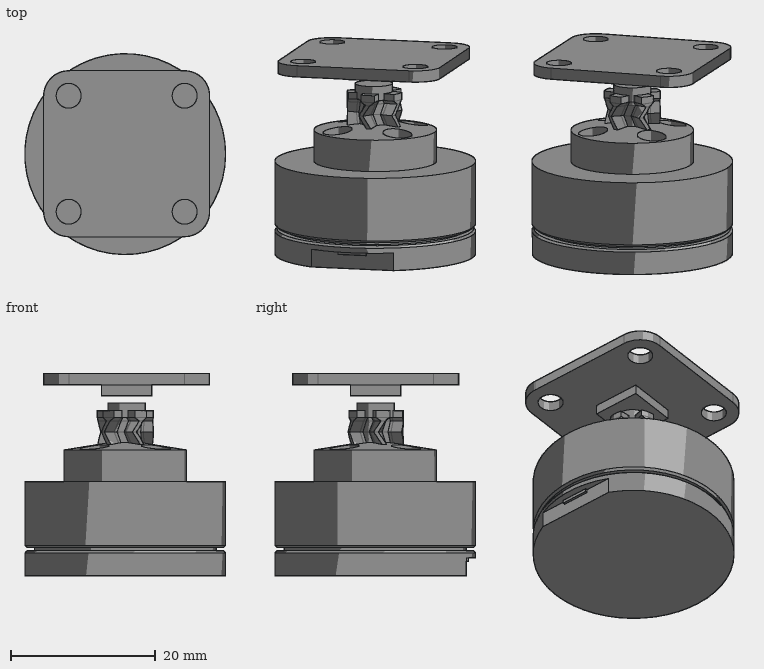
import cadquery as cq
import math

motor_diameter = 27.8
motor_height = 13.02
groove_diameter = 25.2
groove_bottom = 3.5
groove_top = 3.92
groove_chamfer = 0.3
flat_height = 2.5
flat_distance = groove_diameter / 2
tab_height = 0.5
tab_depth = 0.3
tab_width = 4.0

hub_diameter = 17.0
hub_rim_height = 4.4
cone_apex_rise = 1.37
screw_count = 4
screw_circle_radius = 6.05
screw_hole_diameter = 2.5
counterbore_diameter = 4.0
counterbore_floor_height = 3.5

tooth_count = 5
tooth_angle = -55.5
tooth_tip_radius = 3.9
tooth_foot_radius = 2.6
tooth_root_radius = 2.3
gear_half_angles = {"tip": 4.8, "foot": 17.0, "root": 23.0}
jaw_half_angles = {"tip": 14.5, "foot": 26.0, "root": 29.0}
helix_rate = 10.0
gear_middle_z = 19.9
gear_top_z = 21.42
jaw_base_z = 21.9
jaw_top_z = 22.85

sensor_x = 0.2
sensor_y = 0.05
magnet_diameter = 5.2
magnet_height = 2.02
chip_size = 7.0
chip_thickness = 1.5
board_size = 23.0
board_thickness = 1.6
board_corner_radius = 3.5
board_hole_diameter = 3.45
board_hole_spacing = 16.05
board_top_z = 28.0

hub_rim_z = motor_height + hub_rim_height
board_bottom_z = board_top_z - board_thickness
chip_bottom_z = board_bottom_z - chip_thickness


def make_motor():
    """Grooved drum with a flat and a tab below the lip of its base."""
    outer = motor_diameter / 2
    inner = groove_diameter / 2
    profile = [
        (0, 0),
        (outer, 0),
        (outer, groove_bottom - groove_chamfer),
        (outer - groove_chamfer, groove_bottom),
        (inner, groove_bottom),
        (inner, groove_top),
        (outer - groove_chamfer, groove_top),
        (outer, groove_top + groove_chamfer),
        (outer, motor_height),
        (0, motor_height),
    ]
    drum = cq.Workplane("XZ").polyline(profile).close().revolve(360, (0, 0), (0, 1))
    flat = (
        cq.Workplane("XY")
        .center(0, flat_distance + outer / 2)
        .rect(motor_diameter, outer)
        .extrude(flat_height)
    )
    tab = (
        cq.Workplane("XY")
        .workplane(offset=flat_height - tab_height)
        .center(0, flat_distance + tab_depth / 2)
        .rect(tab_width, tab_depth)
        .extrude(tab_height)
    )
    return drum.cut(flat).union(tab)


def polar(radius, degrees):
    """Point at a radius and an angle about the Z axis."""
    angle = math.radians(degrees)
    return (radius * math.cos(angle), radius * math.sin(angle))


def tooth_outline(plane, first_tooth, half_angles):
    """Closed outline of all teeth: arcs at tips and roots, straight flanks and relieved feet."""
    pitch = 360 / tooth_count
    tip, foot, root = half_angles["tip"], half_angles["foot"], half_angles["root"]
    outline = plane.moveTo(*polar(tooth_root_radius, first_tooth - root))
    for index in range(tooth_count):
        centre = first_tooth + index * pitch
        tip_middle = polar(tooth_tip_radius, centre)
        tip_end = polar(tooth_tip_radius, centre + tip)
        root_middle = polar(tooth_root_radius, centre + pitch / 2)
        root_end = polar(tooth_root_radius, centre + pitch - root)
        outline = (
            outline.lineTo(*polar(tooth_foot_radius, centre - foot))
            .lineTo(*polar(tooth_tip_radius, centre - tip))
            .threePointArc(tip_middle, tip_end)
            .lineTo(*polar(tooth_foot_radius, centre + foot))
            .lineTo(*polar(tooth_root_radius, centre + root))
            .threePointArc(root_middle, root_end)
        )
    return outline.close()


def make_pinion():
    """Double-helical gear, the flare above it and the straight jaws."""
    upper_height = gear_top_z - gear_middle_z
    lower_height = gear_middle_z - hub_rim_z
    middle_angle = tooth_angle - helix_rate * upper_height
    middle = cq.Workplane("XY").workplane(offset=gear_middle_z)
    middle_teeth = tooth_outline(middle, middle_angle, gear_half_angles)
    upper = middle_teeth.twistExtrude(upper_height, helix_rate * upper_height)
    middle_teeth = tooth_outline(middle, middle_angle, gear_half_angles)
    lower = middle_teeth.twistExtrude(lower_height, helix_rate * lower_height).mirror(
        "XY", (0, 0, gear_middle_z)
    )
    flare_bottom = cq.Workplane("XY").workplane(offset=gear_top_z)
    flare_top = tooth_outline(flare_bottom, tooth_angle, gear_half_angles).workplane(
        offset=jaw_base_z - gear_top_z
    )
    flare = tooth_outline(flare_top, tooth_angle, jaw_half_angles).loft(ruled=True)
    jaw_bottom = cq.Workplane("XY").workplane(offset=jaw_base_z)
    jaws = tooth_outline(jaw_bottom, tooth_angle, jaw_half_angles).extrude(jaw_top_z - jaw_base_z)
    return lower.union(upper).union(flare).union(jaws)


def make_magnet():
    """Round magnet standing between the jaws."""
    return (
        cq.Workplane("XY")
        .workplane(offset=jaw_base_z)
        .center(sensor_x, sensor_y)
        .circle(magnet_diameter / 2)
        .extrude(magnet_height)
    )


def make_hub(magnet):
    """Conical-topped disc with counterbored screw holes, its pinion and the seat for the magnet."""
    radius = hub_diameter / 2
    profile = [
        (0, motor_height),
        (radius, motor_height),
        (radius, hub_rim_z),
        (0, hub_rim_z + cone_apex_rise),
    ]
    disc = cq.Workplane("XZ").polyline(profile).close().revolve(360, (0, 0), (0, 1))
    first_screw = 180 / screw_count
    screw_holes = (
        cq.Workplane("XY")
        .workplane(offset=motor_height)
        .polarArray(screw_circle_radius, first_screw, 360, screw_count)
        .circle(screw_hole_diameter / 2)
        .extrude(counterbore_floor_height)
    )
    counterbores = (
        cq.Workplane("XY")
        .workplane(offset=motor_height + counterbore_floor_height)
        .polarArray(screw_circle_radius, first_screw, 360, screw_count)
        .circle(counterbore_diameter / 2)
        .extrude(hub_rim_height)
    )
    return disc.cut(screw_holes).cut(counterbores).union(make_pinion()).cut(magnet)


def make_chip():
    """Square sensor chip against the underside of the board."""
    return (
        cq.Workplane("XY")
        .workplane(offset=chip_bottom_z)
        .center(sensor_x, sensor_y)
        .rect(chip_size, chip_size)
        .extrude(chip_thickness)
    )


def make_board():
    """Round-cornered square board with a hole near each corner."""
    return (
        cq.Workplane("XY")
        .workplane(offset=board_bottom_z)
        .center(sensor_x, sensor_y)
        .rect(board_size, board_size)
        .extrude(board_thickness)
        .edges("|Z")
        .fillet(board_corner_radius)
        .faces(">Z")
        .workplane(origin=(sensor_x, sensor_y, board_top_z))
        .rect(board_hole_spacing, board_hole_spacing, forConstruction=True)
        .vertices()
        .hole(board_hole_diameter)
    )


motor = make_motor()
magnet = make_magnet()
hub = make_hub(magnet)
chip = make_chip()
board = make_board()

result = cq.Compound.makeCompound([motor.val(), hub.val(), magnet.val(), chip.val(), board.val()])